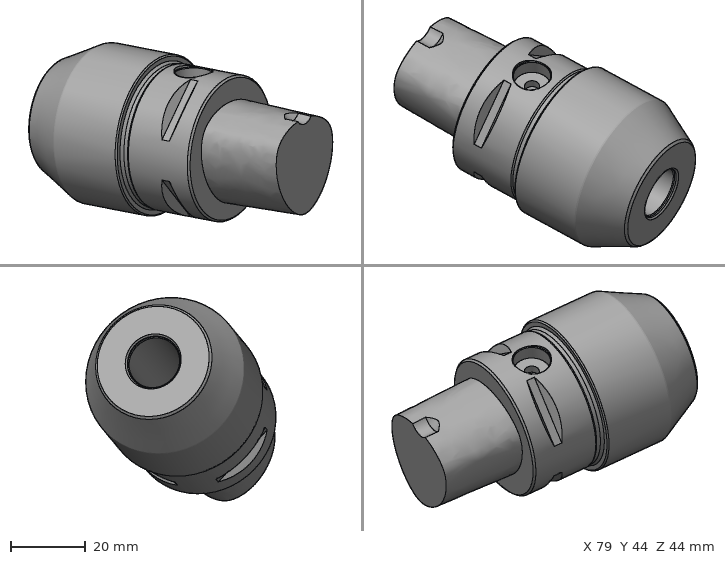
import cadquery as cq
import math

total_length = 79.0

nose_radius = 16.1
nose_chamfer = 0.6
head_radius = 22.0
cone_end = 12.5
cone_edge_chamfer_length = 0.4
cone_edge_chamfer_drop = 0.1
head_end = 32.95
head_chamfer = 0.4

groove_radius = 19.71
groove_flank_radius = 20.3
groove_start = 33.8
groove_end = 35.0
collar_radius = 20.0
collar_start = 35.5
collar_end = 55.15
collar_chamfer = 0.55

shank_radius_large = 14.15
shank_radius_small = 13.4
shank_lobe_height = 0.9
lobe_count = 3
outline_points = 36
shank_overlap = 0.8

mouth_radius = 7.75
counterbore_radius = 7.3
counterbore_depth = 0.95
bore_radius = 6.99
bore_depth = 45.8
bore_floor_radius = 6.5

slot_count = 4
slot_x = 47.0
slot_floor_width = 2.4
slot_top_width = 5.45
slot_floor_distance = 17.5
slot_cut_height = 3.15
slot_length = 2 * collar_radius

pocket_x = 43.0
pocket_radius = 5.02
pocket_chamfer = 0.2
pocket_floor_z = 15.0
socket_radius = 2.015
socket_depth = 2.4
drill_half_angle = 59.0

notch_radius = 3.99
notch_axis_z = 14.85
notch_length = 4.2
notch_overrun = 0.8


def turned_body():
    outline = [
        (0, 0),
        (0, nose_radius - nose_chamfer),
        (nose_chamfer, nose_radius),
        (cone_end, head_radius - cone_edge_chamfer_drop),
        (cone_end + cone_edge_chamfer_length, head_radius),
        (head_end - head_chamfer, head_radius),
        (head_end, head_radius - head_chamfer),
        (head_end, groove_flank_radius),
        (groove_start, groove_radius),
        (groove_end, groove_radius),
        (collar_start, collar_radius),
        (collar_end - collar_chamfer, collar_radius),
        (collar_end, collar_radius - collar_chamfer),
        (collar_end, 0),
    ]
    profile = cq.Workplane("XY").polyline(outline).close()
    return profile.revolve(360, (0, 0, 0), (1, 0, 0))


def lobed_point(mean_radius, turn):
    """Point on a constant-width curve with one lobe pointing to -Z."""
    angle = 2 * math.pi * turn
    lobe_angle = lobe_count * (angle + math.pi / 2)
    support = mean_radius + shank_lobe_height * math.cos(lobe_angle)
    slope = -lobe_count * shank_lobe_height * math.sin(lobe_angle)
    return (
        support * math.cos(angle) - slope * math.sin(angle),
        support * math.sin(angle) + slope * math.cos(angle),
    )


def lobed_outline(mean_radius):
    return [lobed_point(mean_radius, index / outline_points) for index in range(outline_points)]


def shank():
    start = collar_end - shank_overlap
    return (
        cq.Workplane("YZ", origin=(start, 0, 0))
        .spline(lobed_outline(shank_radius_large), periodic=True)
        .wire()
        .workplane(offset=total_length - start)
        .spline(lobed_outline(shank_radius_small), periodic=True)
        .wire()
        .loft(ruled=True)
    )


def clamping_bore():
    mouth_chamfer = mouth_radius - counterbore_radius
    step = counterbore_radius - bore_radius
    floor_chamfer = bore_radius - bore_floor_radius
    outline = [
        (0, 0),
        (0, mouth_radius),
        (mouth_chamfer, counterbore_radius),
        (counterbore_depth, counterbore_radius),
        (counterbore_depth + step, bore_radius),
        (bore_depth - floor_chamfer, bore_radius),
        (bore_depth, bore_floor_radius),
        (bore_depth, 0),
    ]
    profile = cq.Workplane("XY").polyline(outline).close()
    return profile.revolve(360, (0, 0, 0), (1, 0, 0))


def gripper_slot(angle):
    slot_depth = collar_radius - slot_floor_distance
    flank_run = (slot_top_width - slot_floor_width) / 2 * slot_cut_height / slot_depth
    half_floor = slot_floor_width / 2
    half_top = half_floor + flank_run
    top = slot_floor_distance + slot_cut_height
    return (
        cq.Workplane("XZ")
        .moveTo(slot_x - half_floor, slot_floor_distance)
        .lineTo(slot_x + half_floor, slot_floor_distance)
        .lineTo(slot_x + half_top, top)
        .lineTo(slot_x - half_top, top)
        .close()
        .extrude(slot_length / 2, both=True)
        .rotate((0, 0, 0), (1, 0, 0), angle)
    )


def screw_pocket():
    socket_floor_z = pocket_floor_z - socket_depth
    tip_z = socket_floor_z - socket_radius / math.tan(math.radians(drill_half_angle))
    outer_radius = pocket_radius + pocket_chamfer
    rim_z = math.sqrt(collar_radius**2 - outer_radius**2)
    outline = [
        (0, tip_z),
        (socket_radius, socket_floor_z),
        (socket_radius, pocket_floor_z),
        (pocket_radius, pocket_floor_z),
        (pocket_radius, rim_z - pocket_chamfer),
        (outer_radius, rim_z),
        (outer_radius, head_radius),
        (0, head_radius),
    ]
    profile = cq.Workplane("XZ").polyline(outline).close()
    return profile.revolve(360, (0, 0, 0), (0, 1, 0)).translate((pocket_x, 0, 0))


def shank_notch():
    shoulder_x = total_length - notch_length
    outline = [
        (shoulder_x - notch_radius, 0),
        (shoulder_x, notch_radius),
        (total_length + notch_overrun, notch_radius),
        (total_length + notch_overrun, 0),
    ]
    profile = cq.Workplane("XY").polyline(outline).close()
    scoop = profile.revolve(360, (0, 0, 0), (1, 0, 0))
    return scoop.translate((0, 0, notch_axis_z))


result = turned_body().union(shank()).cut(clamping_bore())
for index in range(slot_count):
    result = result.cut(gripper_slot((index + 0.5) * 360 / slot_count))
result = result.cut(screw_pocket()).cut(shank_notch())